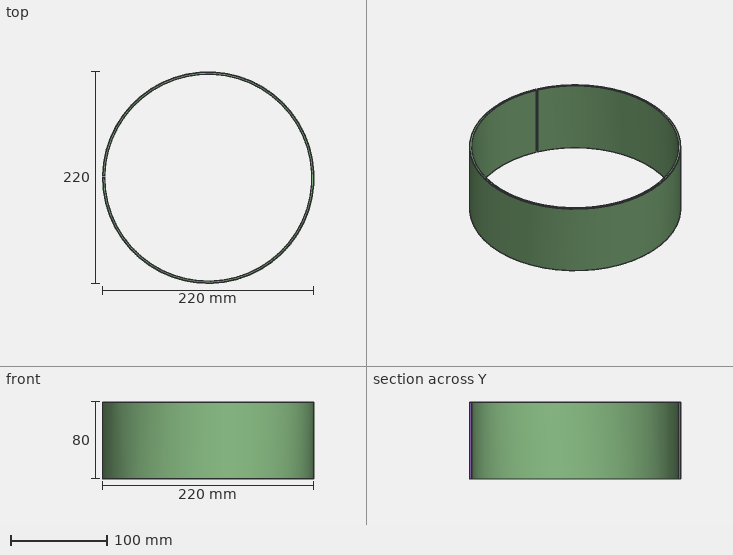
import cadquery as cq

OUTER_DIAMETER = 220.0
WALL_THICKNESS = 2.5
HEIGHT = 80.0
OUTER_CHAMFER = 0.5
INNER_CHAMFER = 0.2
SLIT_ANGLE = 1.0

OUTER_RADIUS = OUTER_DIAMETER / 2
INNER_RADIUS = OUTER_RADIUS - WALL_THICKNESS
FULL_TURN = 360.0


def make_wall_section():
    """Cross-section of the wall on the -X side, with its four rim corners chamfered."""
    return (
        cq.Workplane("XZ")
        .moveTo(-OUTER_RADIUS + OUTER_CHAMFER, 0)
        .lineTo(-INNER_RADIUS - INNER_CHAMFER, 0)
        .lineTo(-INNER_RADIUS, INNER_CHAMFER)
        .lineTo(-INNER_RADIUS, HEIGHT - INNER_CHAMFER)
        .lineTo(-INNER_RADIUS - INNER_CHAMFER, HEIGHT)
        .lineTo(-OUTER_RADIUS + OUTER_CHAMFER, HEIGHT)
        .lineTo(-OUTER_RADIUS, HEIGHT - OUTER_CHAMFER)
        .lineTo(-OUTER_RADIUS, OUTER_CHAMFER)
        .close()
    )


def make_split_ring():
    """Sweep the section from -X around Z, stopping short of a full turn to leave the slit."""
    return make_wall_section().revolve(FULL_TURN - SLIT_ANGLE, (0, 0, 0), (0, 1, 0))


result = make_split_ring()